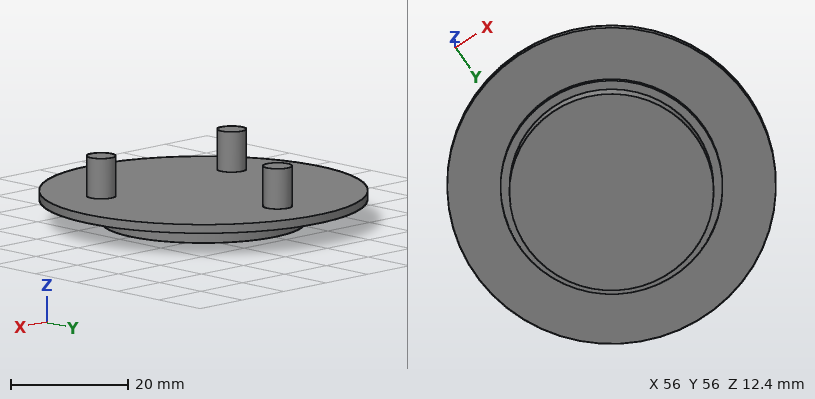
import cadquery as cq

plate_diameter = 56
plate_thickness = 1.5
step_diameter = 37.8
step_height = 1.0
spigot_diameter = 34.8
spigot_height = 2.95

pin_diameter = 5.0
pin_height = 7.0
pin_count = 3
pin_circle_radius = 18.0
first_pin_angle = 90

step_bottom = spigot_height
plate_bottom = step_bottom + step_height
plate_top = plate_bottom + plate_thickness


def disc(diameter, bottom, height):
    """Solid cylinder on the Z axis, standing on the given level."""
    return cq.Workplane("XY", origin=(0, 0, bottom)).circle(diameter / 2).extrude(height)


def pins():
    """Equally spaced pins standing on the plate."""
    return (
        cq.Workplane("XY", origin=(0, 0, plate_top))
        .polarArray(pin_circle_radius, first_pin_angle, 360, pin_count)
        .circle(pin_diameter / 2)
        .extrude(pin_height)
    )


spigot = disc(spigot_diameter, 0, spigot_height)
step = disc(step_diameter, step_bottom, step_height)
plate = disc(plate_diameter, plate_bottom, plate_thickness)

result = spigot.union(step).union(plate).union(pins())